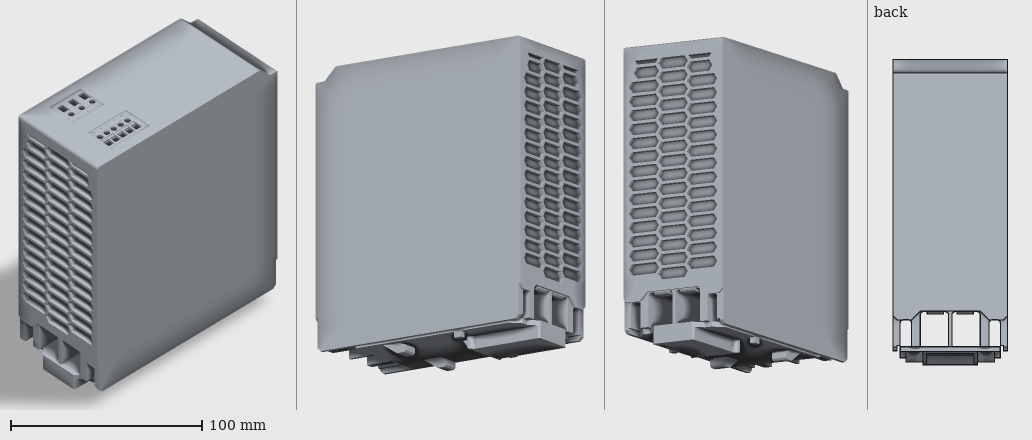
import cadquery as cq

width = 60.0
depth = 130.0
height = 159.5
half_width = width / 2
front_edge_radius = 1.8

rear_step_drop = 7.2
rear_step_ledge = 5.7
rear_slope_radius = 1.8
rear_foot_radius = 0.8
rear_edge_radius = 1.1

skin = 1.3
core_depth = depth - 2 * skin
core_bottom = 7.3
core_corner = 1.9

skin_edge_low = 23.5
skin_edge_high = 28.0
skin_edge_outer = 27.8
skin_edge_inner = 20.3

channel_fillet = 1.6
outer_channel_near = 20.3
outer_channel_far = 26.2
outer_channel_top = 23.5
inner_channel_near = 1.0
inner_channel_far = 15.6
inner_channel_top = 27.8
rib_bottom = 9.5
lining_bottom = 10.0
side_wall = 2.2

tab_center = 7.8
tab_width = 8.6
tab_drop = 1.3
tab_slope = 1.0
tab_depth = 8.0

vent_depth = 3.2
vent_height = 5.9
vent_tip = 1.9
vent_rows = 16
vent_top = 151.7
vent_bottom = 33.8
vent_pitch = (vent_top - vent_bottom - vent_height) / (vent_rows - 1)
middle_vent_width = 18.0
side_vent_inner = 8.5
side_vent_outer = 26.8
short_vent_outer = 24.0
short_vent_rows = 2

plate_top = rib_bottom
plate_bottom = 6.9
plate_half_width = 26.2
plate_flat_near = 16.6
plate_flat_far = 20.7
plate_end = 107.2
tongue_nose = 11.5
tongue_half_width = 12.5
tongue_tip_half_width = 14.4
tongue_flare_start = 41.2
tongue_flare_end = 43.0
tongue_undercut = 43.9
tongue_tip_y = 48.5
tongue_tip_z = 5.1
tongue_lip_z = 5.9
ear_start = 40.4
ear_end = 44.8
ear_width = 3.0
ear_bottom = 3.7

hook_near = 14.4
hook_far = 23.1
hook_bottom = 1.5
hook_top = 5.9
hook_root_start = 80.7
hook_root_end = 91.7
hook_heel = 83.1
hook_tip_y = 77.7
hook_corner = 1.0

block_width = 18.2
block_front = 16.5
block_recess = 0.3
groove_recess = 0.5
outer_groove = 1.3
label_strip = 4.3
label_groove = 0.5
test_hole_diameter = 1.3
test_hole_offset = 1.9
wire_hole_diameter = 3.5
wire_hole_offset = 6.5
wire_hole_depth = 3.2
slot_start = 11.2
slot_width = 4.1
slot_length = 4.0
slot_depth = 4.8
lead_in_width = 2.2
lead_in_depth = 0.8
lead_in_step_width = 0.6
lead_in_step_depth = 1.6

LEFT = -1
RIGHT = 1


def box(x_range, y_range, z_range):
    """Box spanning the given pairs of limits, in either order."""
    x_min, x_max = sorted(x_range)
    y_min, y_max = sorted(y_range)
    z_min, z_max = sorted(z_range)
    size = (x_max - x_min, y_max - y_min, z_max - z_min)
    return cq.Workplane("XY").box(*size, centered=False).translate((x_min, y_min, z_min))


def extrude_along_y(points, y_start, length):
    """Prism with an (x, z) outline, running rearward from y_start."""
    return cq.Workplane("XZ", origin=(0, y_start, 0)).polyline(points).close().extrude(-length)


def extrude_along_x(points, x_start, length):
    """Prism with a (y, z) outline, running toward +X from x_start."""
    return cq.Workplane("YZ", origin=(x_start, 0, 0)).polyline(points).close().extrude(length)


def symmetric_outline(right_half):
    """Closed outline from the points of its right half."""
    left_half = [(-x, other) for x, other in reversed(right_half)]
    return right_half + left_half


def make_enclosure():
    step_z = height - rear_step_drop
    slope_foot = depth - rear_step_ledge
    slope_head = slope_foot - rear_step_drop
    side_outline = [
        (0, 0),
        (0, height),
        (slope_head, height),
        (slope_foot, step_z),
        (depth, step_z),
        (depth, 0),
    ]
    profile = extrude_along_x(side_outline, -half_width, width)
    rounded_edges = (
        (0, height, front_edge_radius),
        (slope_head, height, rear_slope_radius),
        (slope_foot, step_z, rear_foot_radius),
        (depth, step_z, rear_edge_radius),
    )
    for y, z, radius in rounded_edges:
        nearest = cq.selectors.NearestToPointSelector((0, y, z))
        profile = profile.edges("|X").edges(nearest).fillet(radius)

    skin_outline = symmetric_outline([
        (half_width, height),
        (half_width, skin_edge_low + half_width - skin_edge_outer),
        (skin_edge_outer, skin_edge_low),
        (skin_edge_inner, skin_edge_low),
        (skin_edge_inner - (skin_edge_high - skin_edge_low), skin_edge_high),
    ])
    skins = extrude_along_y(skin_outline, 0, depth)

    x_limits = (-half_width, half_width)
    core = box(x_limits, (skin, skin + core_depth), (core_bottom, height))
    core = core.edges("|X and <Z").chamfer(core_corner)
    for side in (LEFT, RIGHT):
        core = cut_channels(core, side)
    center_rib = (-inner_channel_near, inner_channel_near)
    core = core.cut(box(center_rib, (0, depth), (0, rib_bottom)))
    clear_below = box(x_limits, (skin, depth - skin), (0, skin_edge_high))
    return profile.intersect(skins.cut(clear_below).union(core))


def cut_channels(core, side):
    """Cut the two channels on one side and trim the walls beside them."""
    channels = (
        (inner_channel_near, inner_channel_far, inner_channel_top),
        (outer_channel_near, outer_channel_far, outer_channel_top),
    )
    for near, far, top in channels:
        channel = box((side * near, side * far), (0, depth), (0, top))
        core = core.cut(channel.edges("|Y and >Z").fillet(channel_fillet))
    divider = (side * inner_channel_far, side * outer_channel_near)
    core = core.cut(box(divider, (0, depth), (0, rib_bottom)))
    lining = (side * outer_channel_far, side * (half_width - side_wall))
    return core.cut(box(lining, (0, depth), (0, lining_bottom)))


def make_tab(side):
    x_limits = (side * tab_center - tab_width / 2, side * tab_center + tab_width / 2)
    z_limits = (inner_channel_top - tab_drop, skin_edge_high)
    tab = box(x_limits, (skin, skin + tab_depth), z_limits)
    return tab.edges("|X and <Y and <Z").chamfer(tab_slope)


def vent(x_min, x_max, z_center):
    """Elongated hexagon pocket sunk into the front face."""
    half_height = vent_height / 2
    outline = [
        (x_min, z_center),
        (x_min + vent_tip, z_center + half_height),
        (x_max - vent_tip, z_center + half_height),
        (x_max, z_center),
        (x_max - vent_tip, z_center - half_height),
        (x_min + vent_tip, z_center - half_height),
    ]
    return extrude_along_y(outline, 0, vent_depth)


def cut_vents(body):
    first_center = vent_top - vent_height / 2
    vents = cq.Workplane("XY")
    for row in range(vent_rows):
        middle_z = first_center - row * vent_pitch
        side_z = middle_z + vent_pitch / 2
        outer = short_vent_outer if row < short_vent_rows else side_vent_outer
        vents.add(vent(-middle_vent_width / 2, middle_vent_width / 2, middle_z))
        vents.add(vent(-outer, -side_vent_inner, side_z))
        vents.add(vent(side_vent_inner, outer, side_z))
    field = box((-half_width, half_width), (0, vent_depth), (0, vent_top))
    all_vents = cq.Workplane(cq.Compound.makeCompound(vents.vals()))
    return body.cut(all_vents.intersect(field))


def make_foot():
    nose_chamfer = plate_flat_near - tongue_nose
    plate_outline = symmetric_outline([
        (tongue_nose, 0),
        (plate_flat_near, nose_chamfer),
        (plate_flat_far, nose_chamfer),
        (plate_half_width, nose_chamfer + plate_half_width - plate_flat_far),
        (plate_half_width, plate_end),
    ])
    plate = cq.Workplane("XY", origin=(0, 0, plate_bottom)).polyline(plate_outline).close()
    foot = plate.extrude(plate_top - plate_bottom)

    tongue_outline = symmetric_outline([
        (tongue_nose, 0),
        (tongue_half_width, tongue_half_width - tongue_nose),
        (tongue_half_width, tongue_flare_start),
        (tongue_tip_half_width, tongue_flare_end),
        (tongue_tip_half_width, ear_end),
        (tongue_half_width, ear_end),
        (tongue_half_width, tongue_tip_y),
    ])
    tongue = cq.Workplane("XY").polyline(tongue_outline).close().extrude(plate_top)
    tongue_side = [
        (0, 0),
        (tongue_undercut, 0),
        (tongue_tip_y, tongue_tip_z),
        (ear_end, tongue_lip_z),
        (ear_end, plate_top),
        (0, plate_top),
    ]
    tongue = tongue.intersect(extrude_along_x(tongue_side, -half_width, width))
    foot = foot.union(tongue)

    for side in (LEFT, RIGHT):
        ear_x = (side * (plate_half_width - ear_width), side * plate_half_width)
        foot = foot.union(box(ear_x, (ear_start, ear_end), (ear_bottom, plate_top)))
        foot = foot.union(make_hook(side))
    return foot


def make_hook(side):
    outline = [
        (hook_root_end, plate_bottom),
        (hook_heel, hook_bottom),
        (hook_tip_y + hook_corner, hook_bottom),
        (hook_tip_y, hook_bottom + hook_corner),
        (hook_tip_y, hook_top - hook_corner),
        (hook_tip_y + hook_corner, hook_top),
        (hook_root_start, hook_top),
        (hook_root_start, plate_bottom),
    ]
    x_start = min(side * hook_near, side * hook_far)
    return extrude_along_x(outline, x_start, hook_far - hook_near)


def cut_terminal_block(body, label_x, side, contacts, pitch, block_length, first_contact):
    """Cut a terminal block whose label strip starts at label_x and whose contacts lie toward side."""

    def recess(start, span, y_range, drop):
        x_start = label_x + side * start
        return box((x_start, x_start + side * span), y_range, (height - drop, height))

    block_y = (block_front, block_front + block_length)
    body = body.cut(recess(0, block_width, block_y, block_recess))
    body = body.cut(recess(label_strip, label_groove, block_y, groove_recess))
    body = body.cut(recess(block_width - outer_groove, outer_groove, block_y, groove_recess))

    for index in range(contacts):
        y = first_contact + index * pitch
        slot_y = (y - slot_length / 2, y + slot_length / 2)
        body = body.cut(recess(slot_start, slot_width, slot_y, slot_depth))
        body = body.cut(recess(slot_start - lead_in_width, lead_in_width, slot_y, lead_in_depth))
        step_start = slot_start - lead_in_step_width
        body = body.cut(recess(step_start, lead_in_step_width, slot_y, lead_in_step_depth))
        holes = (
            (test_hole_offset, test_hole_diameter, groove_recess),
            (wire_hole_offset, wire_hole_diameter, wire_hole_depth),
        )
        for offset, diameter, drop in holes:
            hole_top = cq.Workplane("XY", origin=(label_x + side * offset, y, height))
            body = body.cut(hole_top.circle(diameter / 2).extrude(-drop))
    return body


body = make_enclosure()
body = cut_terminal_block(
    body, label_x=-5.6, side=LEFT, contacts=3, pitch=7.5, block_length=22.2, first_contact=21.2
)
body = cut_terminal_block(
    body, label_x=5.5, side=RIGHT, contacts=5, pitch=5.0, block_length=27.5, first_contact=19.0
)
body = cut_vents(body)
for tab_side in (LEFT, RIGHT):
    body = body.union(make_tab(tab_side))
result = body.union(make_foot()).solids()